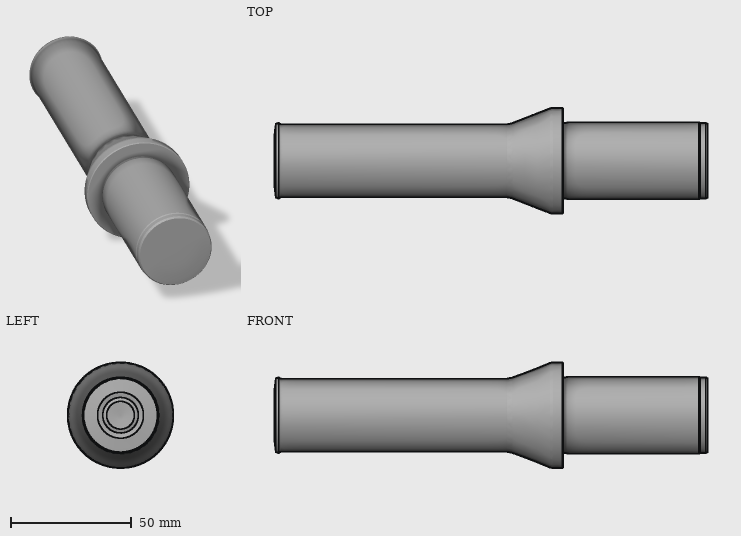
import cadquery as cq

TOTAL_LENGTH = 180.0

HANDLE_DIAMETER = 30.5

HEAD_DIAMETER = 31.5
CROWN_DIAMETER = 27.9
CROWN_HEIGHT = 0.5
HEAD_RIM_DIAMETER = 30.6
HEAD_RIM_START = 0.7
HEAD_LIP_POSITION = 2.0
HEAD_BLEND_LENGTH = 1.0
HEAD_BLEND_END = HEAD_LIP_POSITION + HEAD_BLEND_LENGTH
HEAD_STEP = (HEAD_DIAMETER - HANDLE_DIAMETER) / 2
HEAD_BLEND_RADIUS = (HEAD_BLEND_LENGTH**2 + HEAD_STEP**2) / (2 * HEAD_STEP)

GROOVE_OUTER_DIAMETER = 19.0
GROOVE_BOTTOM_DIAMETER = 14.8
GROOVE_INNER_DIAMETER = 11.5
GROOVE_DEPTH = 0.5
CENTER_CONE_DEPTH = 0.5

FLANGE_DIAMETER = 44.0
CONE_START = 97.7
CONE_END = 115.0
CONE_BLEND_RADIUS = 6.3
RIM_BLEND_RADIUS = 3.2
FLANGE_BACK = 119.9
FLANGE_EDGE_CHAMFER = 0.4

SHANK_DIAMETER = 32.0
NECK_DIAMETER = 31.5
NECK_END = 121.0
NECK_CHAMFER_LENGTH = 1.0
SHANK_END_TAPER_LENGTH = 0.5

CAP_DIAMETER = 31.5
CAP_LENGTH = 3.2
CAP_TIP_DIAMETER = 30.5
CAP_CHAMFER_LENGTH = 0.9

CAP_START = TOTAL_LENGTH - CAP_LENGTH


def turn(profile):
    """Revolve a closed half-profile, drawn as (X, radius), about the X axis."""
    return profile.close().revolve(360, (0, 0, 0), (1, 0, 0))


def round_circle(body, x, diameter, radius):
    """Fillet the circular edge with this diameter at this X position."""
    reach = 0.02
    box = cq.selectors.BoxSelector(
        (x - reach, -diameter, -diameter), (x + reach, diameter, diameter), boundingbox=True
    )
    return body.edges(box).edges(cq.selectors.RadiusNthSelector(-1)).fillet(radius)


def make_center_mark():
    """Cutter for the ring groove and the shallow center cone."""
    profile = (
        cq.Workplane("XY")
        .moveTo(0, GROOVE_OUTER_DIAMETER / 2)
        .lineTo(GROOVE_DEPTH, GROOVE_BOTTOM_DIAMETER / 2)
        .lineTo(0, GROOVE_INNER_DIAMETER / 2)
        .lineTo(CENTER_CONE_DEPTH, 0)
        .lineTo(-GROOVE_DEPTH, 0)
        .lineTo(-GROOVE_DEPTH, GROOVE_OUTER_DIAMETER / 2)
    )
    return turn(profile)


def make_mandrel():
    """Head, handle, flange and shank as one turned body."""
    profile = (
        cq.Workplane("XY")
        .moveTo(0, 0)
        .lineTo(0, GROOVE_OUTER_DIAMETER / 2)
        .lineTo(CROWN_HEIGHT, CROWN_DIAMETER / 2)
        .lineTo(HEAD_RIM_START, HEAD_RIM_DIAMETER / 2)
        .lineTo(HEAD_LIP_POSITION, HEAD_DIAMETER / 2)
        .radiusArc((HEAD_BLEND_END, HANDLE_DIAMETER / 2), -HEAD_BLEND_RADIUS)
        .lineTo(CONE_START, HANDLE_DIAMETER / 2)
        .lineTo(CONE_END, FLANGE_DIAMETER / 2)
        .lineTo(FLANGE_BACK - FLANGE_EDGE_CHAMFER, FLANGE_DIAMETER / 2)
        .lineTo(FLANGE_BACK, FLANGE_DIAMETER / 2 - FLANGE_EDGE_CHAMFER)
        .lineTo(FLANGE_BACK, NECK_DIAMETER / 2)
        .lineTo(NECK_END, NECK_DIAMETER / 2)
        .lineTo(NECK_END + NECK_CHAMFER_LENGTH, SHANK_DIAMETER / 2)
        .lineTo(CAP_START - SHANK_END_TAPER_LENGTH, SHANK_DIAMETER / 2)
        .lineTo(CAP_START, CAP_DIAMETER / 2)
        .lineTo(CAP_START, 0)
    )
    body = turn(profile)
    body = round_circle(body, CONE_START, HANDLE_DIAMETER, CONE_BLEND_RADIUS)
    body = round_circle(body, CONE_END, FLANGE_DIAMETER, RIM_BLEND_RADIUS)
    return body.cut(make_center_mark())


def make_end_cap():
    """Disc seated flat on the end of the shank, with a chamfered outer rim."""
    profile = (
        cq.Workplane("XY")
        .moveTo(CAP_START, 0)
        .lineTo(CAP_START, CAP_DIAMETER / 2)
        .lineTo(TOTAL_LENGTH - CAP_CHAMFER_LENGTH, CAP_DIAMETER / 2)
        .lineTo(TOTAL_LENGTH, CAP_TIP_DIAMETER / 2)
        .lineTo(TOTAL_LENGTH, 0)
    )
    return turn(profile)


mandrel = make_mandrel()
end_cap = make_end_cap()

result = cq.Compound.makeCompound([mandrel.val(), end_cap.val()])